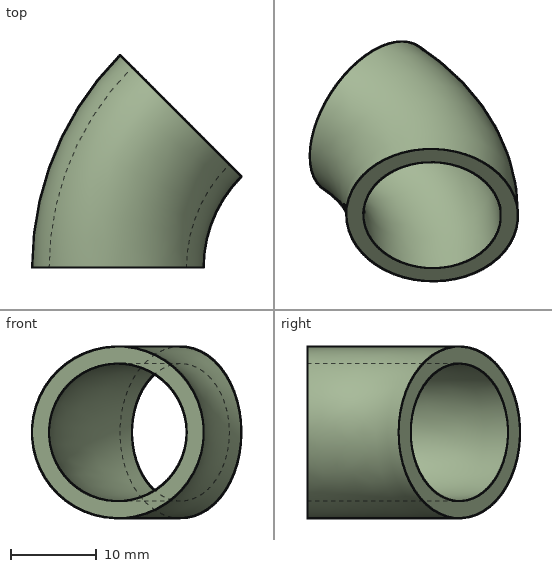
import cadquery as cq

outer_diameter = 20.0
wall_thickness = 2.0
bend_radius = 25.0
bend_angle = 45.0

inner_diameter = outer_diameter - 2 * wall_thickness


def bent_rod(diameter):
    """Sweep a disc from the XZ plane toward +Y, around a bend axis parallel to Z."""
    axis_start = (bend_radius, 0)
    axis_end = (bend_radius, -1)
    disc = cq.Workplane("XZ").circle(diameter / 2)
    return disc.revolve(bend_angle, axis_start, axis_end)


result = bent_rod(outer_diameter).cut(bent_rod(inner_diameter))